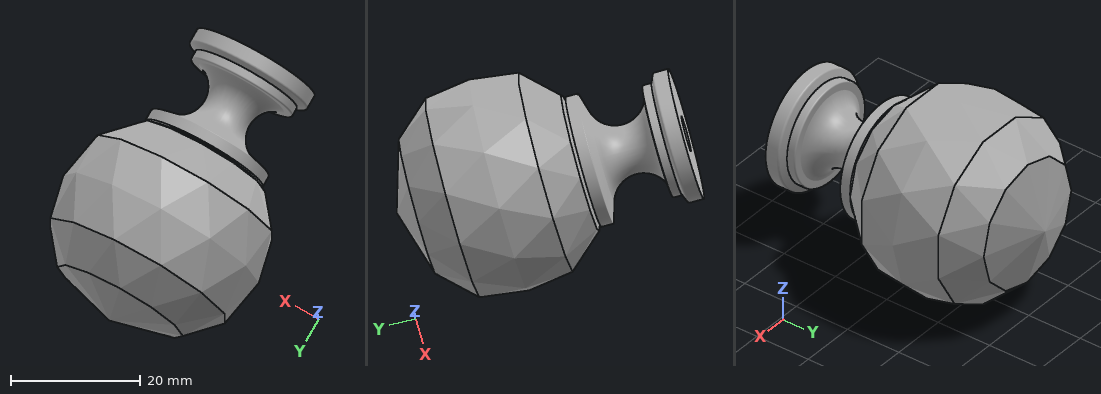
import cadquery as cq
import math

SIDES = 12
BALL_RADIUS = 17.35
BALL_CENTER = 30.05
TOTAL_LENGTH = 46.5
MID_RING_RADIUS = 16.0
MID_RING_OFFSET = 7.5
END_RING_RADIUS = 11.15
END_RING_OFFSET = 13.0

FLANGE_RADIUS = 10.45
FOOT_SIDE_TOP = 2.45
FOOT_ROUND = 0.4
BAND_RADIUS = 9.0
BAND_BOTTOM = 3.05
BAND_TOP = 4.6
BAND_ROUND = 0.3
WAIST_RADIUS = 4.0
WAIST_HEIGHT = 9.1
COVE_RADIUS = 4.65
COVE_TOP = 13.5
COLLAR_BOTTOM = 14.5
COLLAR_ROUND = 0.15
COLLAR_TOP = 16.45

HOLE_RADIUS = 1.75
HOLE_DEPTH = 7.9
THREAD_RADIUS = 2.0
THREAD_PITCH = 0.7
THREAD_START = 0.15
THREAD_FLANK_HALF = 0.3
THREAD_OVERLAP = 0.1
THREAD_TURNS = 9
SINK_RADIUS = 2.8
SINK_DEPTH = 0.7


def ring(radius, height, half_step):
    """Vertices of one ring; a half step turns it by half a side."""
    step = 2 * math.pi / SIDES
    angles = [(i + (0.5 if half_step else 0)) * step for i in range(SIDES)]
    return [cq.Vector(radius * math.cos(a), height, radius * math.sin(a)) for a in angles]


def facet(*corners):
    return cq.Face.makeFromWires(cq.Wire.makePolygon([*corners, corners[0]]))


def band_facets(straight, turned):
    """Triangles between a straight ring and one turned by half a side."""
    facets = []
    for i in range(SIDES):
        after = (i + 1) % SIDES
        facets.append(facet(straight[i], straight[after], turned[i]))
        facets.append(facet(turned[i], turned[after], straight[after]))
    return facets


def make_ball():
    apex = cq.Vector(0, TOTAL_LENGTH, 0)
    upper_end = ring(END_RING_RADIUS, BALL_CENTER + END_RING_OFFSET, False)
    upper_mid = ring(MID_RING_RADIUS, BALL_CENTER + MID_RING_OFFSET, True)
    equator = ring(BALL_RADIUS, BALL_CENTER, False)
    lower_mid = ring(MID_RING_RADIUS, BALL_CENTER - MID_RING_OFFSET, True)
    lower_end = ring(END_RING_RADIUS, BALL_CENTER - END_RING_OFFSET, False)

    apex_rise = TOTAL_LENGTH - BALL_CENTER
    seat_share = (BALL_CENTER - COLLAR_TOP - END_RING_OFFSET) / (apex_rise - END_RING_OFFSET)
    seat = ring(END_RING_RADIUS * (1 - seat_share), COLLAR_TOP, False)

    facets = [facet(*seat)]
    for straight, turned in (
        (upper_end, upper_mid),
        (equator, upper_mid),
        (equator, lower_mid),
        (lower_end, lower_mid),
    ):
        facets += band_facets(straight, turned)
    for i in range(SIDES):
        after = (i + 1) % SIDES
        facets.append(facet(apex, upper_end[i], upper_end[after]))
        facets.append(facet(lower_end[i], lower_end[after], seat[after], seat[i]))
    return cq.Workplane(cq.Solid.makeSolid(cq.Shell.makeShell(facets)))


def circle_selector(radius, height):
    """Selects the circular edge of a given radius and height."""
    slack = 0.005
    reach = radius + slack
    return cq.selectors.BoxSelector((-reach, height - slack, -reach), (reach, height + slack, reach), True)


def make_stem_blank():
    cove_center = WAIST_RADIUS + COVE_RADIUS

    def cove_point(height):
        rise = height - WAIST_HEIGHT
        return (cove_center - math.sqrt(COVE_RADIUS**2 - rise**2), height)

    profile = (
        cq.Workplane("XY")
        .moveTo(0, 0)
        .lineTo(FLANGE_RADIUS, 0)
        .lineTo(FLANGE_RADIUS, FOOT_SIDE_TOP)
        .lineTo(BAND_RADIUS, BAND_BOTTOM)
        .lineTo(BAND_RADIUS, BAND_TOP)
        .lineTo(*cove_point(BAND_TOP))
        .threePointArc((WAIST_RADIUS, WAIST_HEIGHT), cove_point(COVE_TOP))
        .lineTo(FLANGE_RADIUS, COLLAR_BOTTOM)
        .lineTo(FLANGE_RADIUS, COLLAR_TOP)
        .lineTo(0, COLLAR_TOP)
        .close()
    )
    blank = profile.revolve(360, (0, 0, 0), (0, 1, 0))
    for radius, height, size in (
        (FLANGE_RADIUS, FOOT_SIDE_TOP, FOOT_ROUND),
        (BAND_RADIUS, BAND_TOP, BAND_ROUND),
        (FLANGE_RADIUS, COLLAR_BOTTOM, COLLAR_ROUND),
    ):
        blank = blank.edges(circle_selector(radius, height)).fillet(size)
    return blank


def make_hole():
    profile = [
        (0, 0),
        (SINK_RADIUS, 0),
        (HOLE_RADIUS, SINK_DEPTH),
        (HOLE_RADIUS, HOLE_DEPTH),
        (0, HOLE_DEPTH),
    ]
    return cq.Workplane("XY").polyline(profile).close().revolve(360, (0, 0, 0), (0, 1, 0))


def make_thread():
    """V-shaped helical groove for the hole wall, starting inside the countersink."""
    inner = HOLE_RADIUS - THREAD_OVERLAP
    helix = cq.Wire.makeHelix(THREAD_PITCH, THREAD_PITCH * THREAD_TURNS, HOLE_RADIUS)
    groove = (
        cq.Workplane("XZ")
        .polyline([(inner, -THREAD_FLANK_HALF), (THREAD_RADIUS, 0), (inner, THREAD_FLANK_HALF)])
        .close()
        .sweep(cq.Workplane(helix), isFrenet=True)
    )
    return groove.rotate((0, 0, 0), (1, 0, 0), -90).translate((0, THREAD_START, 0))


ball = make_ball()
stem = make_stem_blank().cut(make_hole()).cut(make_thread())

result = cq.Compound.makeCompound([ball.val(), stem.solids().val()])